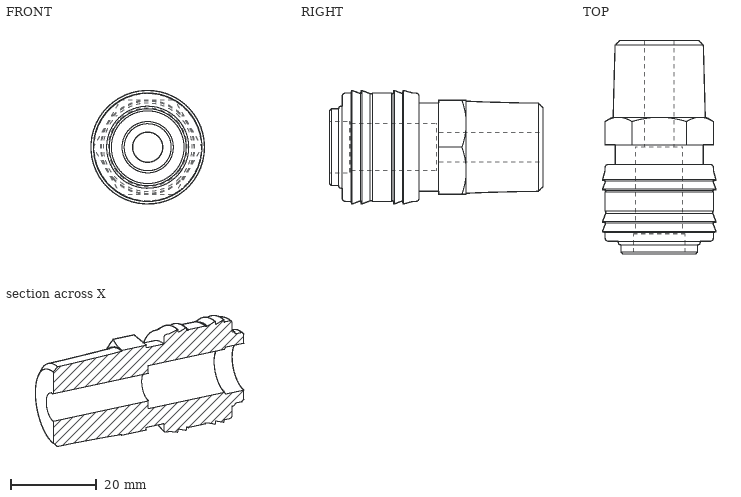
import cadquery as cq
import math

LENGTH = 50.0

NOSE_RADIUS = 9.0
NOSE_CHAMFER = 0.5
COLLAR_RADIUS = 9.6
COLLAR_FRONT = 2.15
COLLAR_ROUND = COLLAR_RADIUS - NOSE_RADIUS

SLEEVE_RADIUS = 12.7
SLEEVE_FRONT = 3.0
SLEEVE_BACK = 21.0
SLEEVE_ROUND = 0.8
RIDGE_RADIUS = 13.3
RIDGE_ROOT_RADIUS = 12.55
RIDGE_ROUND = 0.2
RIDGE_FLANK_RUN = 0.1
RIDGE_FRONTS = [5.05, 7.3, 14.9, 17.1]
RIDGE_LENGTH = 2.25
REAR_RIDGE_BACK = 19.5
BAND_FRONT = 10.05
BAND_BACK = 14.55

NECK_RADIUS = 10.35
HEX_ACROSS_FLATS = 22.0
HEX_FRONT = 25.55
HEX_BACK = 32.0
HEX_CHAMFER_ANGLE = 30.0
TAPER_BASE_RADIUS = 10.8
TAPER_TIP_RADIUS = 10.35
END_CHAMFER = 1.15

SOCKET_RADIUS = 6.0
SOCKET_STEP_FRONT = 4.75
SOCKET_STEP_BACK = 5.0
INNER_SOCKET_RADIUS = 5.5
SOCKET_DEPTH = 25.0
PASSAGE_RADIUS = 3.5


def revolve(profile):
    """Turn a closed (radius, Y) profile about the Y axis."""
    return profile.close().revolve(360, (0, 0, 0), (0, 1, 0))


def cylinder(radius, front, back):
    return revolve(cq.Workplane("XY").moveTo(0, front).lineTo(radius, front).lineTo(radius, back).lineTo(0, back))


def make_nose():
    nose = cylinder(NOSE_RADIUS, 0, SLEEVE_FRONT).faces("<Y").chamfer(NOSE_CHAMFER)
    collar = cylinder(COLLAR_RADIUS, COLLAR_FRONT, SLEEVE_FRONT + SLEEVE_ROUND)
    return nose.union(collar.faces("<Y").edges().fillet(COLLAR_ROUND))


def make_ridge_cut(front, back):
    """Ring that reduces the sleeve to the ridge root radius."""
    ring = cylinder(RIDGE_RADIUS, front, back)
    return ring.cut(cylinder(RIDGE_ROOT_RADIUS, front, back))


def make_ridge(front, back, back_radius):
    """Sawtooth ring: steep front flank, rounded crest, long slope to the back."""
    flank_back = front + RIDGE_FLANK_RUN
    crest_center_radius = RIDGE_RADIUS - RIDGE_ROUND
    crest_y = flank_back + RIDGE_ROUND
    arc_middle_offset = RIDGE_ROUND * math.sqrt(0.5)
    return revolve(
        cq.Workplane("XY")
        .moveTo(0, front)
        .lineTo(RIDGE_ROOT_RADIUS, front)
        .lineTo(crest_center_radius, flank_back)
        .threePointArc(
            (crest_center_radius + arc_middle_offset, crest_y - arc_middle_offset),
            (RIDGE_RADIUS, crest_y),
        )
        .lineTo(back_radius, back)
        .lineTo(0, back)
    )


def make_sleeve():
    sleeve = cylinder(SLEEVE_RADIUS, SLEEVE_FRONT, SLEEVE_BACK)
    sleeve = sleeve.faces("<Y or >Y").edges().fillet(SLEEVE_ROUND)
    sleeve = sleeve.cut(make_ridge_cut(RIDGE_FRONTS[0], BAND_FRONT))
    sleeve = sleeve.cut(make_ridge_cut(BAND_BACK, REAR_RIDGE_BACK))
    for front in RIDGE_FRONTS[:-1]:
        sleeve = sleeve.union(make_ridge(front, front + RIDGE_LENGTH, RIDGE_ROOT_RADIUS))
    return sleeve.union(make_ridge(RIDGE_FRONTS[-1], REAR_RIDGE_BACK, SLEEVE_RADIUS))


def make_hexagon():
    """Hexagon with corners on the X axis and its back corners coned off."""
    flat_radius = HEX_ACROSS_FLATS / 2
    corner_radius = flat_radius / math.cos(math.pi / 6)
    cone_drop = (corner_radius - flat_radius) * math.tan(math.radians(HEX_CHAMFER_ANGLE))
    prism = (
        cq.Workplane("XZ", origin=(0, HEX_FRONT, 0))
        .polygon(6, 2 * corner_radius)
        .extrude(HEX_FRONT - HEX_BACK)
    )
    envelope = revolve(
        cq.Workplane("XY")
        .moveTo(0, HEX_FRONT)
        .lineTo(corner_radius, HEX_FRONT)
        .lineTo(corner_radius, HEX_BACK - cone_drop)
        .lineTo(flat_radius, HEX_BACK)
        .lineTo(0, HEX_BACK)
    )
    return prism.intersect(envelope)


def make_tapered_end():
    chamfer_front = LENGTH - END_CHAMFER
    return revolve(
        cq.Workplane("XY")
        .moveTo(0, HEX_BACK)
        .lineTo(TAPER_BASE_RADIUS, HEX_BACK)
        .lineTo(TAPER_TIP_RADIUS, chamfer_front)
        .lineTo(TAPER_TIP_RADIUS - END_CHAMFER, LENGTH)
        .lineTo(0, LENGTH)
    )


def make_bore():
    """Socket stepping down through a short cone, then a narrow through passage."""
    return revolve(
        cq.Workplane("XY")
        .moveTo(0, 0)
        .lineTo(SOCKET_RADIUS, 0)
        .lineTo(SOCKET_RADIUS, SOCKET_STEP_FRONT)
        .lineTo(INNER_SOCKET_RADIUS, SOCKET_STEP_BACK)
        .lineTo(INNER_SOCKET_RADIUS, SOCKET_DEPTH)
        .lineTo(PASSAGE_RADIUS, SOCKET_DEPTH)
        .lineTo(PASSAGE_RADIUS, LENGTH)
        .lineTo(0, LENGTH)
    )


neck = cylinder(NECK_RADIUS, SLEEVE_BACK, HEX_FRONT)
body = make_nose().union(make_sleeve()).union(neck).union(make_hexagon()).union(make_tapered_end())
result = body.cut(make_bore())